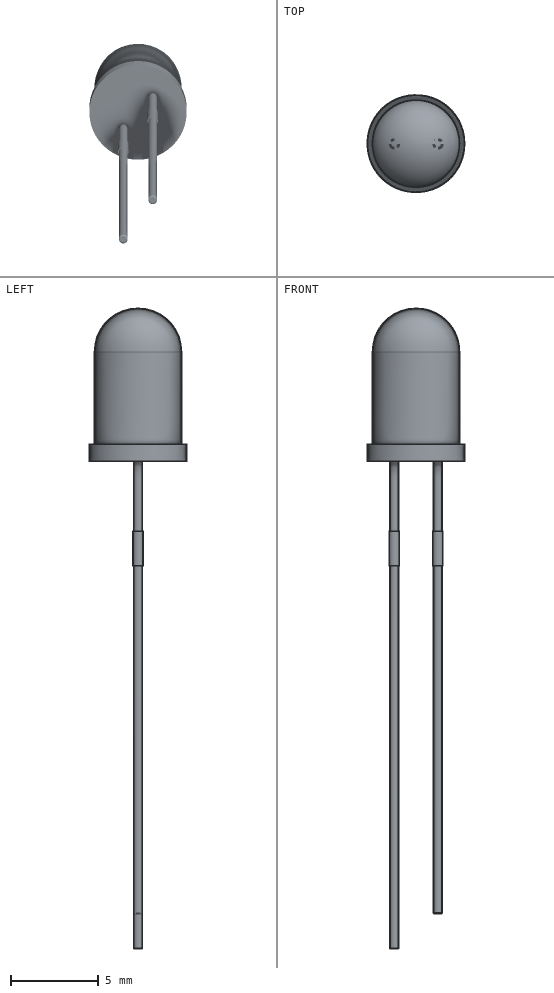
import cadquery as cq

total_height = 36.8

barrel_radius = 5.0 / 2
flange_radius = 5.6 / 2
flange_height = 1.0
lens_height = 8.8
dome_start = lens_height - barrel_radius

lead_radius = 0.25
collar_radius = 0.3
lead_pitch = 2.5
tip_chamfer = 0.05
collar_height = 2.0
collar_gap = 4.0
long_lead_length = total_height - lens_height
lead_length_difference = 2.02
short_lead_length = long_lead_length - lead_length_difference


def make_lens():
    """Revolve the half profile about Z, with the lens base at Z = 0."""
    dome_mid_offset = barrel_radius * 0.5 ** 0.5
    return (
        cq.Workplane("XZ")
        .lineTo(flange_radius, 0)
        .lineTo(flange_radius, flange_height)
        .lineTo(barrel_radius, flange_height)
        .lineTo(barrel_radius, dome_start)
        .threePointArc((dome_mid_offset, dome_start + dome_mid_offset), (0, lens_height))
        .close()
        .revolve(360, (0, 0, 0), (0, 1, 0))
    )


def make_lead(x, length):
    """Build one lead that hangs from the lens base at the given X."""
    wire = cq.Workplane("XY").center(x, 0).circle(lead_radius).extrude(-length)
    wire = wire.faces("<Z").chamfer(tip_chamfer)
    collar = (
        cq.Workplane("XY", origin=(x, 0, -collar_gap))
        .circle(collar_radius)
        .extrude(-collar_height)
    )
    return wire.union(collar)


lens = make_lens()

leads = []
for x, length in ((-lead_pitch / 2, long_lead_length), (lead_pitch / 2, short_lead_length)):
    leads.append(make_lead(x, length).val())

result = cq.Compound.makeCompound([lens.val(), *leads])